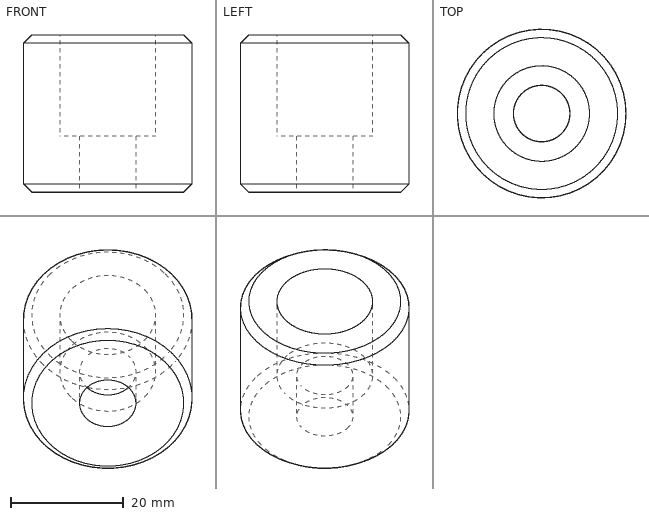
import cadquery as cq

outer_diameter = 30.0
height = 28.0
edge_chamfer = 1.5
bore_diameter = 10.0
counterbore_diameter = 17.0
counterbore_depth = 18.0


def make_body():
    """Cylinder standing on the XY plane, chamfered at both ends."""
    body = cq.Workplane("XY").circle(outer_diameter / 2).extrude(height)
    return body.faces("<Z or >Z").edges().chamfer(edge_chamfer)


def cut_stepped_bore(body):
    """Through bore on the Z axis with a counterbore opening at the top face."""
    return (
        body.faces(">Z")
        .workplane(origin=(0, 0, height))
        .cboreHole(bore_diameter, counterbore_diameter, counterbore_depth)
    )


result = cut_stepped_bore(make_body())